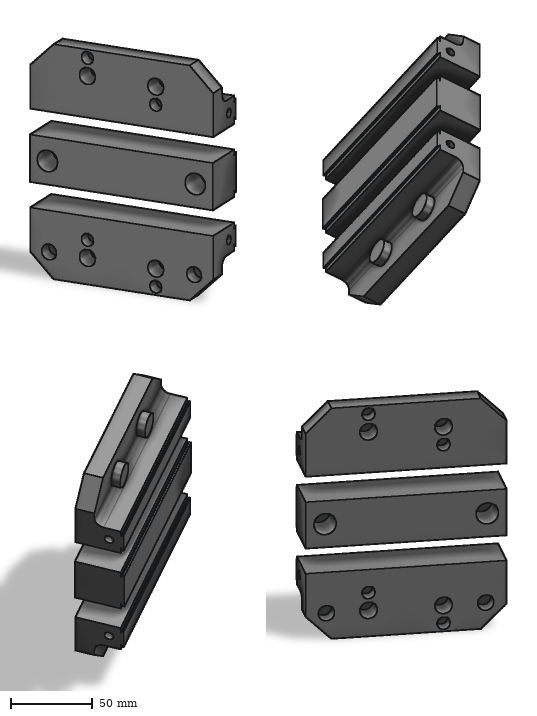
import cadquery as cq

length = 125.7
overall_height = 152.4
lip_inset = 2.5
undercut_width = 1.0
undercut_depth = 1.5
body_back = 29.9

middle_height = 30.8
middle_front = 0.0
middle_lip_back = 32.3
middle_hole_diameter = 13.9
middle_hole_depth = 21.3
middle_hole_x = 50.7

jaw_height = 44.2
jaw_front = 0.3
jaw_lip_back = 31.9
foot_height = 18.3
flange_thickness = 12.5
flange_back = jaw_front + flange_thickness
corner_radius = 5.8
chamfer_x = 16.2
chamfer_z = 15.7

boss_x = 23.5
boss_drop = 17.2
boss_diameter = 15.8
boss_height = 5.8
boss_hole_diameter = 10.8
boss_hole_depth = 15.2
dowel_diameter = 8.1
dowel_depth = 9.1
dowel_offset = 11.7
end_hole_diameter = 10.0
end_hole_depth = 9.9
end_hole_x = 49.8
cross_hole_diameter = 5.8
cross_hole_depth = 12.2
cross_hole_y = 22.3

jaw_top = overall_height / 2
jaw_bottom = jaw_top - jaw_height
foot_top = jaw_bottom + foot_height
boss_z = jaw_top - boss_drop


def cylinder_along_y(x, z, diameter, start, depth):
    """Cylinder from Y = start, running toward +Y."""
    base = cq.Workplane("XZ", origin=(x, start, z))
    return base.circle(diameter / 2).extrude(-depth)


def extrude_across(profile):
    """Extrude a YZ profile over the full length, centred on X = 0."""
    return profile.extrude(length / 2, both=True)


def make_lip(bottom, top, crest):
    """Lip on the rear face of a bar, undercut along its root on both sides."""
    low = bottom + lip_inset
    high = top - lip_inset
    outline = [
        (body_back, low + undercut_depth),
        (body_back + undercut_width, low),
        (crest, low),
        (crest, high),
        (body_back + undercut_width, high),
        (body_back, high - undercut_depth),
    ]
    return extrude_across(cq.Workplane("YZ").polyline(outline).close())


def make_middle_bar():
    depth = body_back - middle_front
    bar = cq.Workplane("XY").box(length, depth, middle_height, centered=(True, False, True))
    bar = bar.translate((0, middle_front, 0))
    bar = bar.union(make_lip(-middle_height / 2, middle_height / 2, middle_lip_back))
    for x in (-middle_hole_x, middle_hole_x):
        bar = bar.cut(cylinder_along_y(x, 0, middle_hole_diameter, middle_front, middle_hole_depth))
    return bar


def make_jaw_blank():
    """L-shaped bar with a filleted inside corner and chamfered flange ends."""
    profile = (
        cq.Workplane("YZ")
        .moveTo(jaw_front, jaw_bottom)
        .lineTo(body_back, jaw_bottom)
        .lineTo(body_back, foot_top)
        .lineTo(flange_back + corner_radius, foot_top)
        .radiusArc((flange_back, foot_top + corner_radius), corner_radius)
        .lineTo(flange_back, jaw_top)
        .lineTo(jaw_front, jaw_top)
        .close()
    )
    front_outline = [
        (-length / 2, jaw_bottom),
        (length / 2, jaw_bottom),
        (length / 2, jaw_top - chamfer_z),
        (length / 2 - chamfer_x, jaw_top),
        (-length / 2 + chamfer_x, jaw_top),
        (-length / 2, jaw_top - chamfer_z),
    ]
    envelope = cq.Workplane("XZ").polyline(front_outline).close().extrude(-jaw_lip_back)
    blank = extrude_across(profile).intersect(envelope)
    return blank.union(make_lip(jaw_bottom, foot_top, jaw_lip_back))


def make_cross_hole(side):
    """Blind hole along X into the foot, from the left (-1) or right (1) end face."""
    center = (side * length / 2, cross_hole_y, jaw_bottom + foot_height / 2)
    mouth = cq.Workplane("YZ", origin=center)
    return mouth.circle(cross_hole_diameter / 2).extrude(-side * cross_hole_depth)


def make_jaw():
    """Upper jaw, with bosses, bolt holes, dowel holes and a cross hole in each end."""
    jaw = make_jaw_blank()
    for side in (-1, 1):
        x = side * boss_x
        boss_length = flange_thickness + boss_height
        jaw = jaw.union(cylinder_along_y(x, boss_z, boss_diameter, jaw_front, boss_length))
        jaw = jaw.cut(cylinder_along_y(x, boss_z, boss_hole_diameter, jaw_front, boss_hole_depth))
        dowel_z = boss_z - side * dowel_offset
        jaw = jaw.cut(cylinder_along_y(x, dowel_z, dowel_diameter, jaw_front, dowel_depth))
        jaw = jaw.cut(make_cross_hole(side))
    return jaw


def make_lower_jaw():
    """Upper jaw turned half a turn about Y, plus a blind hole near each end."""
    jaw = make_jaw().rotate((0, 0, 0), (0, 1, 0), 180)
    for x in (-end_hole_x, end_hole_x):
        jaw = jaw.cut(cylinder_along_y(x, -boss_z, end_hole_diameter, jaw_front, end_hole_depth))
    return jaw


upper_jaw = make_jaw()
middle_bar = make_middle_bar()
lower_jaw = make_lower_jaw()

result = cq.Compound.makeCompound([upper_jaw.val(), middle_bar.val(), lower_jaw.val()])